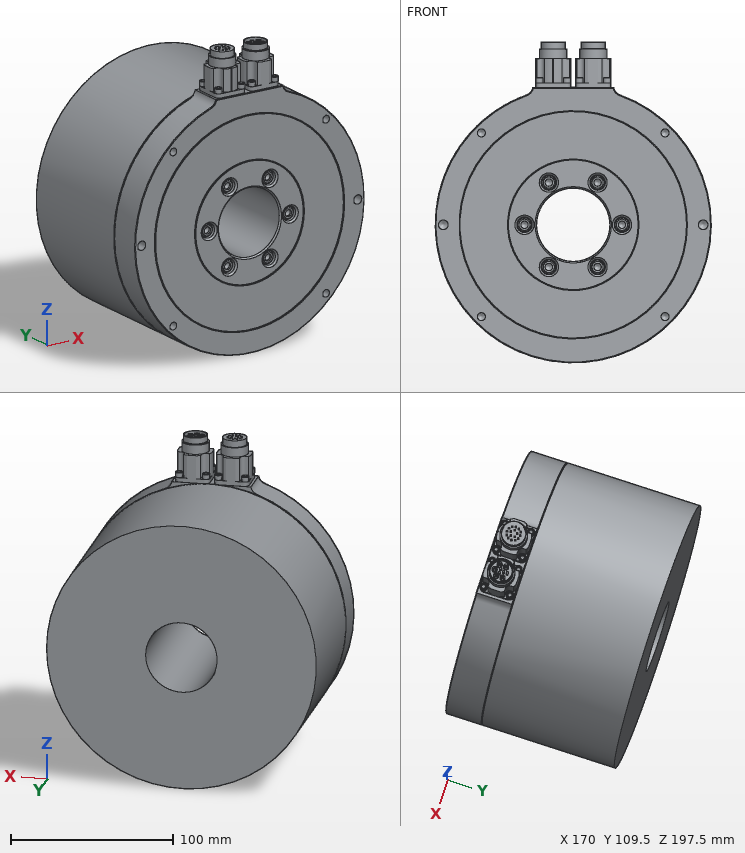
import cadquery as cq
import math


OUTER_DIAMETER = 170.0
OUTER_RADIUS = OUTER_DIAMETER / 2
FLANGE_THICKNESS = 23.1
FLANGE_CHAMFER = 0.5
TOTAL_DEPTH = 109.5
TOTAL_HEIGHT = 197.5
JOINT_GROOVE_WIDTH = 0.5
JOINT_GROOVE_DEPTH = 0.5
BORE_DIAMETER = 45.0
BORE_CHAMFER = 1.0

PAD_HALF_WIDTH = 24.9
PAD_HEIGHT = 84.5
PAD_BLEND_RADIUS = 6.0

RING_OUTER_RADII = (70.3, 40.5)
RING_WIDTH = 0.5
RING_DEPTH = 0.5

DRILL_TIP_ANGLE = 118.0
MOUNT_RADIUS = 80.0
SIDE_HOLE_DIAMETER = 6.0
SIDE_HOLE_ANGLES = (0, 180)
DIAGONAL_HOLE_DIAMETER = 5.0
DIAGONAL_HOLE_ANGLES = (45, 135, 225, 315)
MOUNT_HOLE_DEPTH = 9.9

HUB_SCREW_COUNT = 6
HUB_SCREW_RADIUS = 30.0
HUB_POCKET_DIAMETER = 9.5
HUB_POCKET_CHAMFER = 1.2
HUB_POCKET_DEPTH = 6.0
HUB_HEAD_DIAMETER = 8.5
HUB_HEAD_HEIGHT = 4.0
HUB_HEAD_CHAMFER = 0.8
HUB_SOCKET_DIAMETER = 4.5
HUB_SOCKET_DEPTH = 1.5

CONNECTOR_SPACING = 24.7
CONNECTOR_Y = 12.0
PLATE_SIZE = 21.7
PLATE_CORNER_RADIUS = 3.2
PLATE_HEIGHT = 2.8
BODY_DIAMETER = 22.5
BODY_HEIGHT = 15.0
CHANNEL_OFFSET = 5.3
CHANNEL_RADIUS = 2.8
COLLAR_DIAMETER = 17.0
COLLAR_HEIGHT = 6.0
TIP_DIAMETER = 15.0
CONNECTOR_TOP = TOTAL_HEIGHT - OUTER_RADIUS
TIP_HEIGHT = CONNECTOR_TOP - PAD_HEIGHT - PLATE_HEIGHT - BODY_HEIGHT - COLLAR_HEIGHT
ROUNDED_FRONT_DIAMETER = 21.3
KEYWAY_WIDTH = 0.5
KEYWAY_DEPTH = 0.8

PLATE_SCREW_OFFSET = 8.5
PLATE_SCREW_DIAMETER = 4.5
PLATE_SCREW_CHAMFER = 0.4
PLATE_SCREW_HEIGHT = 3.4
PLATE_SOCKET_DIAMETER = 2.5
PLATE_SOCKET_DEPTH = 1.0

SIGNAL_HOLE_DIAMETER = 1.0
SIGNAL_HOLE_DEPTH = 2.0
SIGNAL_RINGS = ((12, 4.3), (5, 2.2))

POWER_CUP_DIAMETER = 13.8
POWER_CUP_DEPTH = 4.0
POWER_CONTACT_HEIGHT = 3.2
POWER_SLEEVE_DIAMETER = 3.2
POWER_SLEEVE_HOLE = 1.5
POWER_SLEEVE_ANGLES = (30, 150, 210, 270, 330)
POWER_SLEEVE_RING = 4.1
POWER_PIN_DIAMETER = 1.5
POWER_PIN_ANGLES = (90, 210, 330)
POWER_PIN_RING = 1.5
POWER_KEY_WIDTH = 1.8
POWER_KEY_DEPTH = 1.2
POWER_KEY_Y = 4.0


def polar(radius, angle):
    """Point at an angle in degrees on a circle about the origin."""
    return radius * math.cos(math.radians(angle)), radius * math.sin(math.radians(angle))


def front_disc(diameter, start, end):
    """Cylinder along the drum axis between two Y positions."""
    return cq.Workplane("XZ", origin=(0, start, 0)).circle(diameter / 2).extrude(start - end)


def front_cone(diameter, chamfer):
    """Cone on the front face that chamfers the mouth of a hole of the given diameter."""
    radius = diameter / 2
    return cq.Workplane(cq.Solid.makeCone(radius + chamfer, radius, chamfer, dir=cq.Vector(0, 1, 0)))


def upright(diameter, height, base=0.0):
    """Cylinder standing along Z."""
    return cq.Workplane("XY").workplane(offset=base).circle(diameter / 2).extrude(height)


def drill(diameter, depth):
    """Drill shape along +Y, starting at the origin and ending in a conical tip."""
    radius = diameter / 2
    tip = radius / math.tan(math.radians(DRILL_TIP_ANGLE / 2))
    profile = cq.Workplane("XY").polyline([(0, 0), (radius, 0), (radius, depth), (0, depth + tip)]).close()
    return profile.revolve(360, (0, 0, 0), (0, 1, 0))


def make_flange():
    """Disc with a flat pad on top, blended into the rim by concave arcs."""
    blend_x = PAD_HALF_WIDTH + PAD_BLEND_RADIUS
    blend_reach = OUTER_RADIUS + PAD_BLEND_RADIUS
    blend_z = math.sqrt(blend_reach**2 - blend_x**2)
    rim_x = blend_x * OUTER_RADIUS / blend_reach
    rim_z = blend_z * OUTER_RADIUS / blend_reach
    pad_x = blend_x - math.sqrt(PAD_BLEND_RADIUS**2 - (blend_z - PAD_HEIGHT) ** 2)
    mid_dx = (pad_x + rim_x) / 2 - blend_x
    mid_dz = (PAD_HEIGHT + rim_z) / 2 - blend_z
    stretch = PAD_BLEND_RADIUS / math.hypot(mid_dx, mid_dz)
    mid_x = blend_x + mid_dx * stretch
    mid_z = blend_z + mid_dz * stretch
    outline = (
        cq.Workplane("XZ")
        .moveTo(-pad_x, PAD_HEIGHT)
        .lineTo(pad_x, PAD_HEIGHT)
        .threePointArc((mid_x, mid_z), (rim_x, rim_z))
        .threePointArc((0, -OUTER_RADIUS), (-rim_x, rim_z))
        .threePointArc((-mid_x, mid_z), (-pad_x, PAD_HEIGHT))
        .close()
    )
    return outline.extrude(-FLANGE_THICKNESS).faces("<Y").chamfer(FLANGE_CHAMFER)


def make_housing():
    """Flange and drum with the shallow groove at their joint and the through bore."""
    groove_end = FLANGE_THICKNESS + JOINT_GROOVE_WIDTH
    groove_floor = front_disc(OUTER_DIAMETER - 2 * JOINT_GROOVE_DEPTH, FLANGE_THICKNESS, groove_end)
    drum = front_disc(OUTER_DIAMETER, groove_end, TOTAL_DEPTH)
    bore = front_disc(BORE_DIAMETER, 0, TOTAL_DEPTH)
    mouth = front_cone(BORE_DIAMETER, BORE_CHAMFER)
    return make_flange().union(groove_floor).union(drum).cut(bore).cut(mouth)


def cut_rings(body):
    """Shallow circular grooves in the front face."""
    for radius in RING_OUTER_RADII:
        core = front_disc(2 * (radius - RING_WIDTH), 0, RING_DEPTH)
        ring = front_disc(2 * radius, 0, RING_DEPTH).cut(core)
        body = body.cut(ring)
    return body


def cut_mount_holes(body):
    """Blind drilled holes around the flange rim."""
    patterns = (
        (SIDE_HOLE_DIAMETER, SIDE_HOLE_ANGLES),
        (DIAGONAL_HOLE_DIAMETER, DIAGONAL_HOLE_ANGLES),
    )
    for diameter, angles in patterns:
        for angle in angles:
            x, z = polar(MOUNT_RADIUS, angle)
            body = body.cut(drill(diameter, MOUNT_HOLE_DEPTH).translate((x, 0, z)))
    return body


def add_hub_screws(body):
    """Recessed socket-head screws, each in a chamfered pocket around the bore."""
    head_top = HUB_POCKET_DEPTH - HUB_HEAD_HEIGHT
    pocket = front_disc(HUB_POCKET_DIAMETER, 0, HUB_POCKET_DEPTH)
    mouth = front_cone(HUB_POCKET_DIAMETER, HUB_POCKET_CHAMFER)
    head = front_disc(HUB_HEAD_DIAMETER, head_top, HUB_POCKET_DEPTH).faces("<Y").chamfer(HUB_HEAD_CHAMFER)
    head = head.cut(drill(HUB_SOCKET_DIAMETER, HUB_SOCKET_DEPTH).translate((0, head_top, 0)))
    recess = pocket.union(mouth).cut(head)
    for index in range(HUB_SCREW_COUNT):
        x, z = polar(HUB_SCREW_RADIUS, index * 360 / HUB_SCREW_COUNT)
        body = body.cut(recess.translate((x, 0, z)))
    return body


def plate_screw():
    """Screw head standing on z = 0 with a drilled socket in its top."""
    socket = drill(PLATE_SOCKET_DIAMETER, PLATE_SOCKET_DEPTH).rotate((0, 0, 0), (1, 0, 0), -90)
    head = upright(PLATE_SCREW_DIAMETER, PLATE_SCREW_HEIGHT).faces(">Z").chamfer(PLATE_SCREW_CHAMFER)
    return head.cut(socket.translate((0, 0, PLATE_SCREW_HEIGHT)))


def connector_shell():
    """Square plate, body with corner channels, screws, collar and tip, standing on z = 0 about the Z axis."""
    body_top = PLATE_HEIGHT + BODY_HEIGHT
    plate = cq.Workplane("XY").rect(PLATE_SIZE, PLATE_SIZE).extrude(PLATE_HEIGHT)
    plate = plate.edges("|Z").fillet(PLATE_CORNER_RADIUS)
    body_base = cq.Workplane("XY").workplane(offset=PLATE_HEIGHT)
    block = body_base.rect(PLATE_SIZE, PLATE_SIZE).extrude(BODY_HEIGHT)
    body = block.intersect(upright(BODY_DIAMETER, BODY_HEIGHT, PLATE_HEIGHT))
    channel_center = CHANNEL_OFFSET + PLATE_SIZE / 2
    channels = (
        body_base.rect(2 * channel_center, 2 * channel_center, forConstruction=True)
        .vertices()
        .rect(PLATE_SIZE, PLATE_SIZE)
        .extrude(BODY_HEIGHT)
        .edges("|Z")
        .fillet(CHANNEL_RADIUS)
    )
    shell = plate.union(body.cut(channels))
    shell = shell.union(upright(COLLAR_DIAMETER, COLLAR_HEIGHT, body_top))
    shell = shell.union(upright(TIP_DIAMETER, TIP_HEIGHT, body_top + COLLAR_HEIGHT))
    for x_side in (-1, 1):
        for y_side in (-1, 1):
            place = (x_side * PLATE_SCREW_OFFSET, y_side * PLATE_SCREW_OFFSET, PLATE_HEIGHT)
            shell = shell.union(plate_screw().translate(place))
    return shell


def round_body_front(connector):
    """Round the front flat between the channels and cut a narrow keyway down its middle."""
    body_middle = PLATE_HEIGHT + BODY_HEIGHT / 2
    front_y = -PLATE_SIZE / 2
    front_strip = cq.Workplane("XY").box(2 * CHANNEL_OFFSET, PLATE_SIZE / 2, BODY_HEIGHT)
    front_strip = front_strip.translate((0, front_y, body_middle))
    rounding = front_strip.cut(upright(ROUNDED_FRONT_DIAMETER, BODY_HEIGHT, PLATE_HEIGHT))
    keyway = cq.Workplane("XY").box(KEYWAY_WIDTH, 2 * KEYWAY_DEPTH, BODY_HEIGHT)
    return connector.cut(rounding).cut(keyway.translate((0, front_y, body_middle)))


def signal_connector():
    """Solid tip with two rings of contact holes, on a body with a rounded front."""
    hole_floor = CONNECTOR_TOP - PAD_HEIGHT - SIGNAL_HOLE_DEPTH
    hole = upright(SIGNAL_HOLE_DIAMETER, SIGNAL_HOLE_DEPTH, hole_floor)
    connector = round_body_front(connector_shell())
    for count, radius in SIGNAL_RINGS:
        for index in range(count):
            x, y = polar(radius, 180 + index * 360 / count)
            connector = connector.cut(hole.translate((x, y, 0)))
    return connector


def power_connector():
    """Hollow tip holding contact sleeves, thin pins and a rectangular key."""
    floor = CONNECTOR_TOP - PAD_HEIGHT - POWER_CUP_DEPTH
    connector = connector_shell().cut(upright(POWER_CUP_DIAMETER, POWER_CUP_DEPTH, floor))
    sleeve = upright(POWER_SLEEVE_DIAMETER, POWER_CONTACT_HEIGHT, floor)
    sleeve = sleeve.cut(upright(POWER_SLEEVE_HOLE, POWER_CONTACT_HEIGHT, floor))
    pin = upright(POWER_PIN_DIAMETER, POWER_CONTACT_HEIGHT, floor)
    patterns = (
        (sleeve, POWER_SLEEVE_RING, POWER_SLEEVE_ANGLES),
        (pin, POWER_PIN_RING, POWER_PIN_ANGLES),
    )
    for contact, radius, angles in patterns:
        for angle in angles:
            x, y = polar(radius, angle)
            connector = connector.union(contact.translate((x, y, 0)))
    key = cq.Workplane("XY").box(POWER_KEY_WIDTH, POWER_KEY_DEPTH, POWER_CONTACT_HEIGHT)
    return connector.union(key.translate((0, POWER_KEY_Y, floor + POWER_CONTACT_HEIGHT / 2)))


part = add_hub_screws(cut_mount_holes(cut_rings(make_housing())))
part = part.union(signal_connector().translate((-CONNECTOR_SPACING / 2, CONNECTOR_Y, PAD_HEIGHT)))
result = part.union(power_connector().translate((CONNECTOR_SPACING / 2, CONNECTOR_Y, PAD_HEIGHT)))